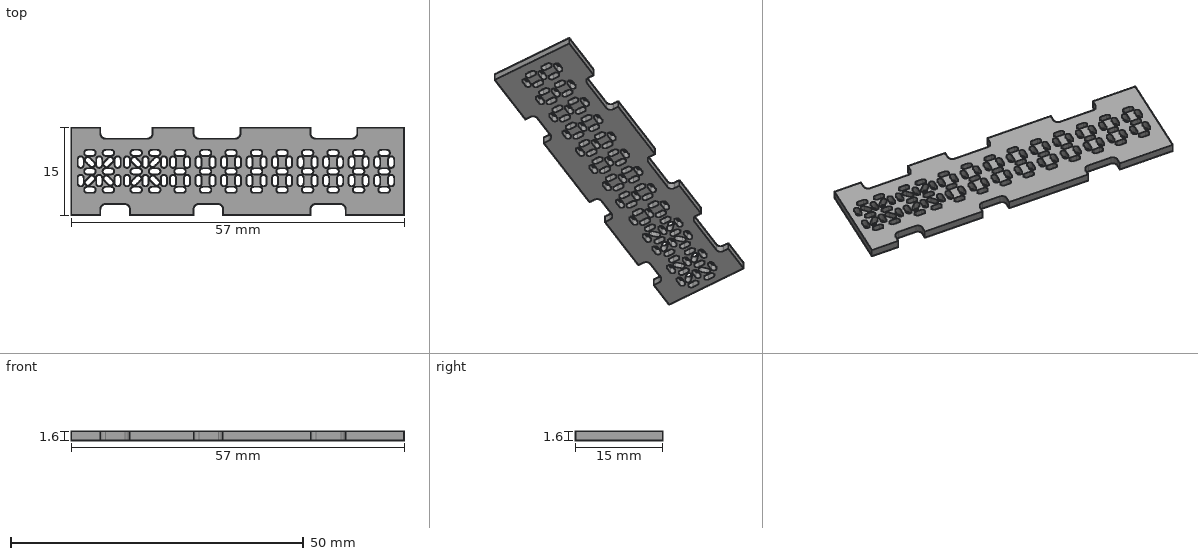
import cadquery as cq

length = 57.0
width = 15.0
thickness = 1.6

notch_depth = 1.9
notch_corner_radius = 0.85
notch_starts = (5.0, 21.0, 41.0)
back_notch_lengths = (8.9, 8.0, 8.0)
front_notch_lengths = (5.0, 5.0, 6.0)

segment_length = 1.95
segment_end_radius = 0.495
segment_width = 2 * segment_end_radius
diagonal_length = 2.0
diagonal_angle = 45.0

row_span = 6.3
full_cell = row_span / 2
half_cell = full_cell / 2
digit_half_width = 1.2

star_count = 2
star_first_x = 4.8
star_pitch = 7.9
digit_count = 9
digit_first_x = 18.65
digit_last_x = 53.6
digit_pitch = (digit_last_x - digit_first_x) / (digit_count - 1)


def edge_notch(start, notch_length, side):
    """Rectangular cutter on the back (side = 1) or front (side = -1) edge."""
    return (
        cq.Workplane("XY")
        .center(start + notch_length / 2, side * width / 2)
        .rect(notch_length, 2 * notch_depth)
        .extrude(thickness)
        .edges("|Z")
        .fillet(notch_corner_radius)
    )


def cut_slots(body, points, slot_length, angle):
    """Cut equal round-ended slots through the body at the given points."""
    cutters = (
        cq.Workplane("XY")
        .pushPoints(points)
        .slot2D(slot_length, segment_width, angle)
        .extrude(thickness)
    )
    return body.cut(cutters)


def cut_segments(body, horizontal_points, vertical_points):
    """Cut the level and upright segments of one character."""
    body = cut_slots(body, horizontal_points, segment_length, 0)
    return cut_slots(body, vertical_points, segment_length, 90)


def cut_digit(body, x):
    """Seven-segment digit centred at x."""
    horizontal = [(x, y) for y in (-full_cell, 0, full_cell)]
    vertical = [
        (x + dx, y)
        for dx in (-digit_half_width, digit_half_width)
        for y in (-half_cell, half_cell)
    ]
    return cut_segments(body, horizontal, vertical)


def cut_star(body, x):
    """Star character centred at x, with four diagonals aimed at its centre."""
    horizontal = [
        (x + dx, y)
        for dx in (-half_cell, half_cell)
        for y in (-full_cell, 0, full_cell)
    ]
    vertical = [
        (x + dx, y)
        for dx in (-full_cell, 0, full_cell)
        for y in (-half_cell, half_cell)
    ]
    body = cut_segments(body, horizontal, vertical)
    for slope in (-1, 1):
        diagonal = [(x + dx, slope * dx) for dx in (-half_cell, half_cell)]
        body = cut_slots(body, diagonal, diagonal_length, slope * diagonal_angle)
    return body


result = cq.Workplane("XY").box(length, width, thickness, centered=(False, True, False))

for side, notch_lengths in ((1, back_notch_lengths), (-1, front_notch_lengths)):
    for start, notch_length in zip(notch_starts, notch_lengths):
        result = result.cut(edge_notch(start, notch_length, side))

for i in range(star_count):
    result = cut_star(result, star_first_x + i * star_pitch)

for i in range(digit_count):
    result = cut_digit(result, digit_first_x + i * digit_pitch)